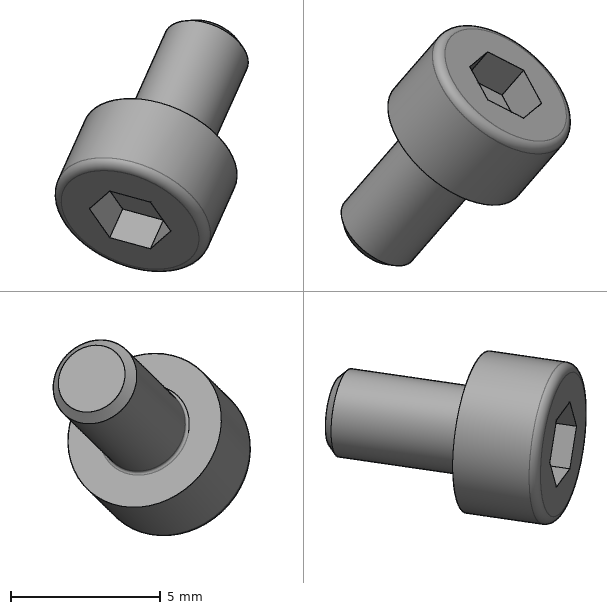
import cadquery as cq
import math

total_length = 8.0
head_diameter = 5.5
head_height = 3.0
head_edge_radius = 0.3
shank_diameter = 3.0
tip_chamfer = 0.3
neck_fillet_radius = 0.1
socket_across_flats = 2.5
socket_depth = 1.3

shank_length = total_length - head_height


def make_cylinder(diameter, start_y, length):
    """Solid cylinder on the Y axis, growing from start_y toward +Y."""
    axis_start = cq.Vector(0, start_y, 0)
    axis_direction = cq.Vector(0, 1, 0)
    return cq.Workplane(cq.Solid.makeCylinder(diameter / 2, length, axis_start, axis_direction))


def make_head():
    """Cylindrical head with a rounded front edge."""
    head = make_cylinder(head_diameter, -head_height, head_height)
    return head.faces("<Y").edges().fillet(head_edge_radius)


def make_shank():
    """Plain shank with a chamfered tip."""
    shank = make_cylinder(shank_diameter, 0, shank_length)
    return shank.faces(">Y").edges().chamfer(tip_chamfer)


def make_neck_fillet():
    """Concave ring blending the shank into the underside of the head."""
    shank_radius = shank_diameter / 2
    base_radius = shank_radius + neck_fillet_radius
    arc_offset = neck_fillet_radius * (1 - math.sqrt(0.5))
    profile = (
        cq.Workplane("XY")
        .lineTo(base_radius, 0)
        .threePointArc((shank_radius + arc_offset, arc_offset), (shank_radius, neck_fillet_radius))
        .lineTo(0, neck_fillet_radius)
        .close()
    )
    return profile.revolve(360, (0, 0, 0), (0, 1, 0))


def make_socket():
    """Hexagonal socket with two corners on the X axis and a flat floor."""
    across_corners = socket_across_flats / math.cos(math.radians(30))
    front_plane = cq.Workplane("XZ", origin=(0, -head_height, 0))
    return front_plane.polygon(6, across_corners).extrude(-socket_depth)


result = make_head().union(make_shank()).union(make_neck_fillet()).cut(make_socket())